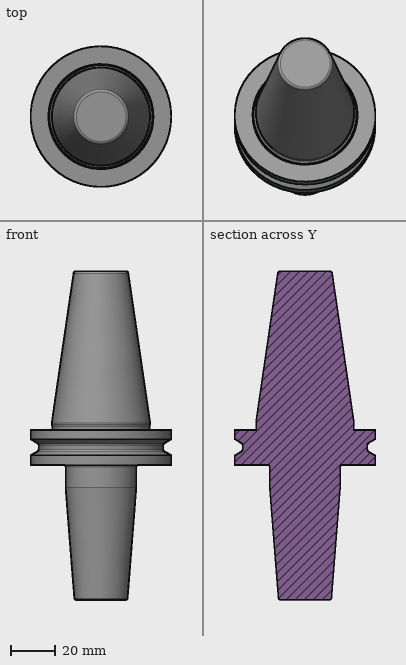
import cadquery as cq
import math

GAUGE_RADIUS = 44.45 / 2
TAPER_LENGTH = 68.4
TAPER_SLOPE = 7 / 48
TAPER_END_FILLET = 1.2

COLLAR_HEIGHT = 3.2
COLLAR_LAND = 0.8
NECK_DEPTH = 0.2
NECK_RAMP_ANGLE = 15
NECK_FILLET = 0.4

RELIEF_DEPTH = 0.2
RELIEF_FLOOR_RADIUS = 23.2
RELIEF_RIM_RADIUS = 23.75

FLANGE_RADIUS = 63.55 / 2
FLANGE_BOTTOM_Z = -19.1
GROOVE_CENTRE_Z = -11.1
GROOVE_FLOOR_RADIUS = 56.25 / 2
GROOVE_FLOOR_WIDTH = 3.05
GROOVE_FLANK_ANGLE = 30
GROOVE_FLOOR_FILLET = 1.0

NOSE_RADIUS = 32 / 2
NOSE_TIP_RADIUS = 24 / 2
NOSE_CONE_ANGLE = 4.5
NOSE_BOTTOM_Z = -80
NOSE_TIP_FILLET = 1.0
NOSE_ROOT_FILLET = 0.8

FLANGE_TOP_Z = -COLLAR_HEIGHT
RELIEF_FLOOR_Z = FLANGE_TOP_Z - RELIEF_DEPTH
NECK_RADIUS = GAUGE_RADIUS - NECK_DEPTH


def revolve_about_z(outline):
    """Revolve a closed outline, drawn with X as radius and Y as height, about Z."""
    return outline.close().revolve(360, (0, 0, 0), (0, 1, 0))


def circle_at(radius, z):
    """Select the circular edge of the given radius and height."""
    margin = 0.01
    return cq.selectors.BoxSelector(
        (-radius - margin, -radius - margin, z - margin),
        (radius + margin, radius + margin, z + margin),
        boundingbox=True,
    )


def make_taper():
    end_radius = GAUGE_RADIUS - TAPER_LENGTH * TAPER_SLOPE
    taper = revolve_about_z(
        cq.Workplane("XZ")
        .moveTo(0, 0)
        .lineTo(GAUGE_RADIUS, 0)
        .lineTo(end_radius, TAPER_LENGTH)
        .lineTo(0, TAPER_LENGTH)
    )
    return taper.faces(">Z").edges().fillet(TAPER_END_FILLET)


def make_collar():
    ramp_length = NECK_DEPTH / math.tan(math.radians(NECK_RAMP_ANGLE))
    return revolve_about_z(
        cq.Workplane("XZ")
        .moveTo(0, 0)
        .lineTo(GAUGE_RADIUS, 0)
        .lineTo(GAUGE_RADIUS, -COLLAR_LAND)
        .lineTo(NECK_RADIUS, -COLLAR_LAND - ramp_length)
        .lineTo(NECK_RADIUS, RELIEF_FLOOR_Z)
        .lineTo(0, RELIEF_FLOOR_Z)
    )


def make_flange():
    depth = FLANGE_RADIUS - GROOVE_FLOOR_RADIUS
    half_floor = GROOVE_FLOOR_WIDTH / 2
    half_mouth = half_floor + depth * math.tan(math.radians(GROOVE_FLANK_ANGLE))
    flange = revolve_about_z(
        cq.Workplane("XZ")
        .moveTo(0, FLANGE_BOTTOM_Z)
        .lineTo(FLANGE_RADIUS, FLANGE_BOTTOM_Z)
        .lineTo(FLANGE_RADIUS, GROOVE_CENTRE_Z - half_mouth)
        .lineTo(GROOVE_FLOOR_RADIUS, GROOVE_CENTRE_Z - half_floor)
        .lineTo(GROOVE_FLOOR_RADIUS, GROOVE_CENTRE_Z + half_floor)
        .lineTo(FLANGE_RADIUS, GROOVE_CENTRE_Z + half_mouth)
        .lineTo(FLANGE_RADIUS, FLANGE_TOP_Z)
        .lineTo(RELIEF_RIM_RADIUS, FLANGE_TOP_Z)
        .lineTo(RELIEF_FLOOR_RADIUS, RELIEF_FLOOR_Z)
        .lineTo(0, RELIEF_FLOOR_Z)
    )
    for side in (-1, 1):
        corner = circle_at(GROOVE_FLOOR_RADIUS, GROOVE_CENTRE_Z + side * half_floor)
        flange = flange.edges(corner).fillet(GROOVE_FLOOR_FILLET)
    return flange


def make_nose():
    cone_length = (NOSE_RADIUS - NOSE_TIP_RADIUS) / math.tan(math.radians(NOSE_CONE_ANGLE))
    nose = revolve_about_z(
        cq.Workplane("XZ")
        .moveTo(0, NOSE_BOTTOM_Z)
        .lineTo(NOSE_TIP_RADIUS, NOSE_BOTTOM_Z)
        .lineTo(NOSE_RADIUS, NOSE_BOTTOM_Z + cone_length)
        .lineTo(NOSE_RADIUS, FLANGE_BOTTOM_Z)
        .lineTo(0, FLANGE_BOTTOM_Z)
    )
    return nose.faces("<Z").edges().fillet(NOSE_TIP_FILLET)


result = make_taper().union(make_collar()).union(make_flange()).union(make_nose())
result = result.edges(circle_at(NECK_RADIUS, RELIEF_FLOOR_Z)).fillet(NECK_FILLET)
result = result.edges(circle_at(NOSE_RADIUS, FLANGE_BOTTOM_Z)).fillet(NOSE_ROOT_FILLET)